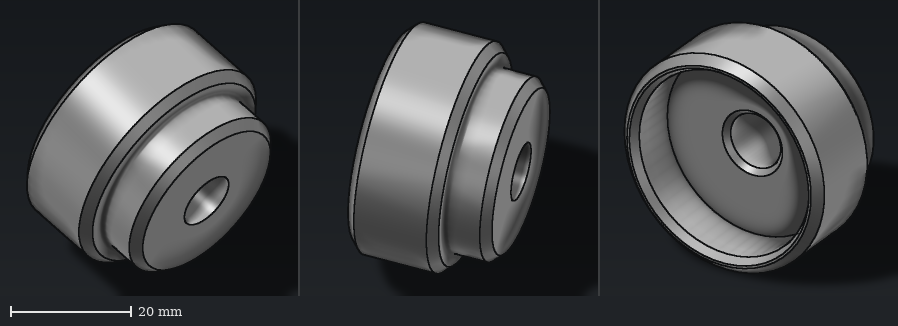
import cadquery as cq
import math

flange_radius = 20.0
flange_length = 16.0
hub_radius = 16.0
total_length = 24.0
edge_chamfer = 1.6
root_fillet = 0.8

pocket_radius = 17.0
pocket_depth = 10.0
pocket_lead_in_length = 1.6
pocket_lead_in_angle = 30.0
pocket_mouth_radius = pocket_radius + pocket_lead_in_length * math.tan(math.radians(pocket_lead_in_angle))

bore_radius = 5.0
bore_chamfer = 1.0


def conical_recess(start_x, mouth_radius, end_radius, length):
    """Cone that opens a hole towards -X, with its mouth at start_x."""
    cone = cq.Solid.makeCone(mouth_radius, end_radius, length, cq.Vector(start_x, 0, 0), cq.Vector(1, 0, 0))
    return cq.Workplane(obj=cone)


def axial_cylinder(start_x, end_x, radius):
    """Cylinder along the X axis between two stations."""
    return cq.Workplane("YZ", origin=(start_x, 0, 0)).circle(radius).extrude(end_x - start_x)


def turned_body():
    """Solid outside shape: chamfered flange, filleted root and chamfered hub."""
    fillet_middle = root_fillet * (1 - math.sin(math.radians(45)))
    profile = (
        cq.Workplane("XY")
        .moveTo(0, 0)
        .lineTo(0, flange_radius - edge_chamfer)
        .lineTo(edge_chamfer, flange_radius)
        .lineTo(flange_length - edge_chamfer, flange_radius)
        .lineTo(flange_length, flange_radius - edge_chamfer)
        .lineTo(flange_length, hub_radius + root_fillet)
        .threePointArc(
            (flange_length + fillet_middle, hub_radius + fillet_middle),
            (flange_length + root_fillet, hub_radius),
        )
        .lineTo(total_length - edge_chamfer, hub_radius)
        .lineTo(total_length, hub_radius - edge_chamfer)
        .lineTo(total_length, 0)
        .close()
    )
    return profile.revolve(360, (0, 0, 0), (1, 0, 0))


def pocket():
    """Blind round pocket in the open end, with a tapered lead-in."""
    lead_in = conical_recess(0, pocket_mouth_radius, pocket_radius, pocket_lead_in_length)
    return axial_cylinder(0, pocket_depth, pocket_radius).union(lead_in)


def bore():
    """Through bore from the pocket floor, chamfered where it meets the floor."""
    chamfer = conical_recess(pocket_depth, bore_radius + bore_chamfer, bore_radius, bore_chamfer)
    return axial_cylinder(pocket_depth, total_length, bore_radius).union(chamfer)


result = turned_body().cut(pocket()).cut(bore())